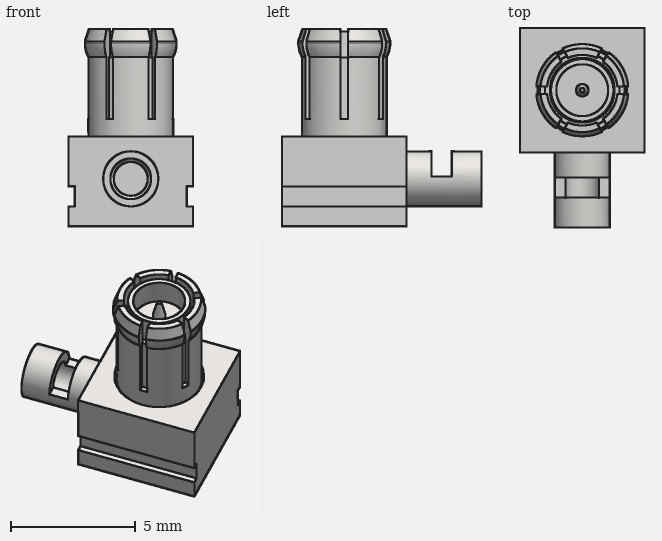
import cadquery as cq
import math

block_side = 5.0
block_height = 3.6
side_groove_bottom = 0.8
side_groove_height = 0.8
side_groove_depth = 0.25

barrel_radius = 1.7
barrel_top = 7.9
ring_bottom = 6.78
ring_band_bottom = 7.33
ring_band_top = 7.41
ring_radius = 1.85
ring_top_radius = 1.68
clearance_radius = 1.79
clearance_depth = 0.2

slot_count = 6
slot_width = 0.3
slot_bottom = 4.3
slot_floor_radius = 1.5

finger_inner_radius = 1.42
cavity_floor = 6.76
sleeve_top = 7.81
sleeve_top_radius = 1.25
sleeve_base_radius = 1.3
sleeve_bore_radius = 1.04

pin_radius = 0.25
pin_tip_radius = 0.09
pin_cone_bottom = 7.04
pin_tip = 7.72

tube_axis_height = 1.9
tube_radius = 1.1
tube_length = 3.0
tube_bore_radius = 0.68
tube_mouth_radius = 0.82
tube_mouth_depth = 0.15
window_start = 1.0
window_width = 0.8
window_floor = 2.0
bore_past_window = 0.2
tube_bore_depth = tube_length - window_start + bore_past_window


def cylinder(radius, bottom, top):
    return cq.Workplane("XY").workplane(offset=bottom).circle(radius).extrude(top - bottom)


def make_block():
    block = cq.Workplane("XY").box(block_side, block_side, block_height, centered=(True, True, False))
    groove_middle = side_groove_bottom + side_groove_height / 2
    for side in (-1, 1):
        groove = cq.Workplane("XY").box(2 * side_groove_depth, block_side, side_groove_height)
        block = block.cut(groove.translate((side * block_side / 2, 0, groove_middle)))
    return block.cut(cylinder(clearance_radius, block_height - clearance_depth, block_height))


def make_barrel():
    barrel_bottom = block_height - clearance_depth
    rise = ring_band_bottom - ring_bottom
    bulge = ring_radius - barrel_radius
    arc_radius = (rise**2 + bulge**2) / (2 * bulge)
    half_angle = math.asin(rise / arc_radius) / 2
    arc_middle = (
        ring_radius - arc_radius * (1 - math.cos(half_angle)),
        ring_band_bottom - arc_radius * math.sin(half_angle),
    )
    barrel = (
        cq.Workplane("XZ")
        .moveTo(0, barrel_bottom)
        .lineTo(barrel_radius, barrel_bottom)
        .lineTo(barrel_radius, ring_bottom)
        .threePointArc(arc_middle, (ring_radius, ring_band_bottom))
        .lineTo(ring_radius, ring_band_top)
        .lineTo(ring_top_radius, barrel_top)
        .lineTo(0, barrel_top)
        .close()
        .revolve(360, (0, 0, 0), (0, 1, 0))
    )
    barrel = barrel.cut(cylinder(finger_inner_radius, cavity_floor, barrel_top))
    return cut_slots(barrel)


def cut_slots(barrel):
    slot_height = barrel_top - slot_bottom
    slot = (
        cq.Workplane("XY")
        .workplane(offset=slot_bottom)
        .center(ring_radius, 0)
        .rect(2 * ring_radius, slot_width)
        .extrude(slot_height)
        .cut(cylinder(slot_floor_radius, slot_bottom, cavity_floor))
    )
    for index in range(slot_count):
        barrel = barrel.cut(slot.rotate((0, 0, 0), (0, 0, 1), index * 360 / slot_count))
    return barrel


def make_sleeve():
    return (
        cq.Workplane("XZ")
        .polyline([
            (sleeve_bore_radius, cavity_floor),
            (sleeve_base_radius, cavity_floor),
            (sleeve_top_radius, sleeve_top),
            (sleeve_bore_radius, sleeve_top),
        ])
        .close()
        .revolve(360, (0, 0, 0), (0, 1, 0))
    )


def make_pin():
    return (
        cq.Workplane("XZ")
        .polyline([
            (0, cavity_floor),
            (pin_radius, cavity_floor),
            (pin_radius, pin_cone_bottom),
            (pin_tip_radius, pin_tip),
            (0, pin_tip),
        ])
        .close()
        .revolve(360, (0, 0, 0), (0, 1, 0))
    )


def add_cable_tube(body):
    block_face = -block_side / 2
    tube_end = block_face - tube_length
    face_plane = cq.Plane((0, block_face, tube_axis_height), (1, 0, 0), (0, -1, 0))
    end_plane = cq.Plane((0, tube_end, tube_axis_height), (1, 0, 0), (0, 1, 0))
    body = body.union(cq.Workplane(face_plane).circle(tube_radius).extrude(tube_length))
    body = body.cut(cq.Workplane(end_plane).circle(tube_bore_radius).extrude(tube_bore_depth))
    mouth = (
        cq.Workplane(end_plane)
        .circle(tube_mouth_radius)
        .workplane(offset=tube_mouth_depth)
        .circle(tube_bore_radius)
        .loft()
    )
    window = cq.Workplane("XY").box(2 * tube_radius, window_width, tube_radius, centered=(True, True, False))
    window_middle = block_face - window_start - window_width / 2
    return body.cut(mouth).cut(window.translate((0, window_middle, window_floor)))


body = make_block().union(make_barrel()).union(make_sleeve()).union(make_pin())
result = add_cable_tube(body)